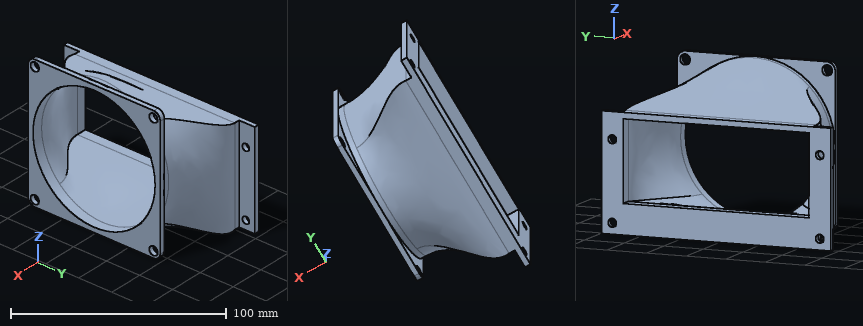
import cadquery as cq
import math

step = 3.0
length = 50.0
transition_start = 2 * step
transition_end = length - 2 * step

inlet_width = 116.0
inlet_height = 58.0
inlet_hole_spacing_y = 105.0
inlet_hole_spacing_z = 39.4
inlet_hole_bottom = 5.5
inlet_hole_diameter = 4.1

outlet_side = 80.0
outlet_center_z = outlet_side / 2
outlet_corner_radius = 4.1
outlet_hole_inset = 4.1
outlet_hole_diameter = 5.0

wall = 3.0
outer_width = 97.0
passage_width = 94.0
passage_bottom = 15.0
passage_top = inlet_height - wall
outer_radius = outlet_side / 2
passage_radius = outer_radius - wall

bulge = 0.8
bulge_peak = 4 / 27
section_count = 9


def plate(width, bottom, top, start, thickness):
    """Rectangular block centred on Y = 0 and extruded along +X."""
    height = top - bottom
    return cq.Workplane("YZ", origin=(start, 0, bottom + height / 2)).rect(width, height).extrude(thickness)


def cylinder(radius, start, thickness):
    """Round block on the outlet axis, extruded along +X."""
    return cq.Workplane("YZ", origin=(start, 0, outlet_center_z)).circle(radius).extrude(thickness)


def transition_section(t, width, bottom, top, radius):
    """Four-sided wire that turns from a rectangle (t = 0) into a circle (t = 1)."""
    x = transition_start + t * (transition_end - transition_start)
    blend = t * t * (3 - 2 * t)
    swell = bulge * t * (1 - t) ** 2 / bulge_peak
    half_width = width / 2 + swell
    half_height = (top - bottom) / 2 + swell
    center_z = (top + bottom) / 2

    def point(side_y, side_z):
        reach = math.hypot(side_y, side_z)
        y = (1 - blend) * half_width * side_y + blend * radius * side_y / reach
        rectangle_z = center_z + half_height * side_z
        circle_z = outlet_center_z + radius * side_z / reach
        return cq.Vector(x, y, (1 - blend) * rectangle_z + blend * circle_z)

    corners = [(-1, -1), (1, -1), (1, 1), (-1, 1)]
    edges = []
    for first, second in zip(corners, corners[1:] + corners[:1]):
        middle = ((first[0] + second[0]) / 2, (first[1] + second[1]) / 2)
        if t == 0:
            edges.append(cq.Edge.makeLine(point(*first), point(*second)))
        else:
            edges.append(cq.Edge.makeThreePointArc(point(*first), point(*middle), point(*second)))
    return cq.Wire.assembleEdges(edges)


def transition(width, bottom, top, radius):
    sections = [
        transition_section(i / (section_count - 1), width, bottom, top, radius)
        for i in range(section_count)
    ]
    return cq.Workplane(cq.Solid.makeLoft(sections))


def inlet_flange():
    hole_center_z = inlet_hole_bottom + inlet_hole_spacing_z / 2
    holes = (
        cq.Workplane("YZ", origin=(0, 0, hole_center_z))
        .rect(inlet_hole_spacing_y, inlet_hole_spacing_z, forConstruction=True)
        .vertices()
        .circle(inlet_hole_diameter / 2)
        .extrude(step)
    )
    return plate(inlet_width, 0, inlet_height, 0, step).cut(holes)


def outlet_flange():
    start = length - step
    hole_spacing = outlet_side - 2 * outlet_hole_inset
    holes = (
        cq.Workplane("YZ", origin=(start, 0, outlet_center_z))
        .rect(hole_spacing, hole_spacing, forConstruction=True)
        .vertices()
        .circle(outlet_hole_diameter / 2)
        .extrude(step)
    )
    blank = plate(outlet_side, 0, outlet_side, start, step)
    return blank.edges("|X").fillet(outlet_corner_radius).cut(holes)


outside = (
    inlet_flange()
    .union(plate(outer_width, 0, inlet_height, step, step))
    .union(transition(outer_width, 0, inlet_height, outer_radius))
    .union(cylinder(outer_radius, transition_end, step))
    .union(outlet_flange())
)

result = (
    outside
    .cut(plate(passage_width, passage_bottom, passage_top, 0, transition_start))
    .cut(transition(passage_width, passage_bottom, passage_top, passage_radius))
    .cut(cylinder(passage_radius, transition_end, 2 * step))
)